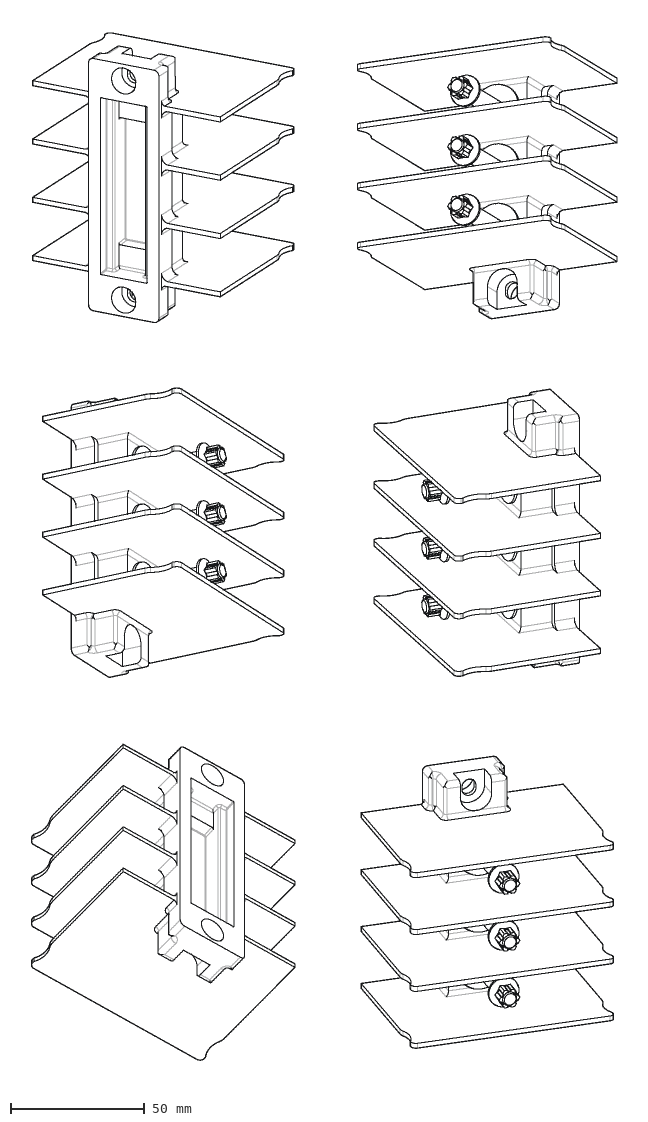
import cadquery as cq
import math

LENGTH = 100.7
HALF_LENGTH = LENGTH / 2

PLATE_PITCH = 23.3
PLATE_THICK = 2.0
PLATE_HALF_WIDTH = 40.0
PLATE_FRONT = 2.1
PLATE_REAR = 60.8
PLATE_CORNER_R = 2.0
PLATE_LEVELS = [(i - 1.5) * PLATE_PITCH for i in range(4)]
TOP_LEVEL = PLATE_LEVELS[-1]

NOTCH_MID = 52.9
NOTCH_DEPTH = 1.5
NOTCH_END = 58.0
NOTCH_BLEND_START = 48.4
NOTCH_BLEND_END = 46.3

FOOT_HALF_WIDTH = 15.0
BLOCK_HALF_WIDTH = 12.6
BAY_FOOT_DEPTH = 10.2
BAY_BLOCK_DEPTH = 22.9
BAY_FOOT_FLARE_R = 2.9
BAY_BLOCK_FLARE_R = 1.7
BAY_FLARE_SINK = 0.02

EAR_FOOT_DEPTH = 8.0
EAR_BLOCK_DEPTH = 17.9
EAR_END_R = 2.1
EAR_CORNER_R = 1.1
EAR_INNER_R = 0.9
EAR_FLARE_R = 1.9
EAR_FLARE_SINK = 0.1

HOLE_LEVEL = 43.7
BORE_R = 5.1
BORE_DEPTH = 7.9
REAR_NOTCH_R = 6.1
REAR_NOTCH_FLOOR = 9.9
SLOT_WIDTH = 5.4
SLOT_HEIGHT = 6.5

POCKET_HALF_WIDTH = 10.0
POCKET_HALF_LENGTH = 35.2
POCKET_DEPTH = 4.5
TROUGH_HALF_WIDTH = 6.5
TROUGH_DEPTH = 8.1
WELL_HALF_LENGTH = 26.1
WELL_DEPTH = 12.9
SIDE_DRAFT = 1.0
END_DRAFT = 5.0
POCKET_FLOOR_R = 0.9
POCKET_EDGE_R = 0.7
POCKET_CORNER_R = 0.3
WELL_CORNER_R = 0.7
WELL_FLOOR_R = 0.3

STUD_LEVELS = [-PLATE_PITCH, 0.0, PLATE_PITCH]
PAD_R = 9.6
PAD_TOP = 23.9
SHAFT_R = 3.3
FLANGE_R = 5.9
FLANGE_START = 48.7
FLANGE_END = 49.6
CONE_END = 51.4
HEAD_SIDES = 6
HEAD_ACROSS_FLATS = 7.0
HEAD_END = 56.0
TIP_BASE_R = 2.7
TIP_END_R = 2.3
TIP_END = 56.7
GROOVE_WIDTH = 1.3
GROOVE_DEPTH = 0.4


def block(half_width, y_start, y_end, z_start, z_end):
    """Box centred on X = 0 between the given Y and Z limits."""
    size = (2 * half_width, y_end - y_start, z_end - z_start)
    return cq.Workplane("XY").box(*size, centered=(True, False, False)).translate((0, y_start, z_start))


def rod(radius, y_start, y_end, z):
    """Cylinder along Y, centred on X = 0."""
    return cq.Workplane("XZ", origin=(0, y_start, z)).circle(radius).extrude(y_start - y_end)


def plate(level):
    """Barrier plate with rounded rear corners and a finger notch in each side."""
    notch_bottom = PLATE_HALF_WIDTH - NOTCH_DEPTH
    half_chord = NOTCH_END - NOTCH_MID
    notch_r = (half_chord ** 2 + NOTCH_DEPTH ** 2) / (2 * NOTCH_DEPTH)
    rise = NOTCH_MID - NOTCH_BLEND_START
    blend_x = notch_bottom + notch_r - math.sqrt(notch_r ** 2 - rise ** 2)
    corner_x = PLATE_HALF_WIDTH - PLATE_CORNER_R
    corner_mid = PLATE_CORNER_R * math.sqrt(0.5)
    half = (
        cq.Workplane("XY", origin=(0, 0, level - PLATE_THICK / 2))
        .moveTo(0, PLATE_FRONT)
        .lineTo(PLATE_HALF_WIDTH, PLATE_FRONT)
        .lineTo(PLATE_HALF_WIDTH, NOTCH_BLEND_END)
        .tangentArcPoint((blend_x, NOTCH_BLEND_START), relative=False)
        .threePointArc((notch_bottom, NOTCH_MID), (PLATE_HALF_WIDTH, NOTCH_END))
        .lineTo(PLATE_HALF_WIDTH, PLATE_REAR - PLATE_CORNER_R)
        .threePointArc(
            (corner_x + corner_mid, PLATE_REAR - PLATE_CORNER_R + corner_mid),
            (corner_x, PLATE_REAR),
        )
        .lineTo(0, PLATE_REAR)
        .close()
        .extrude(PLATE_THICK)
    )
    return half.union(half.mirror("YZ"))


def flared(core, half_width, depth, levels, radius, sink, edge_filter):
    """Core whose foot is rounded into flat slabs inside the plates at the given levels.

    The rounding starts at the front edge of the plates; the slabs, lower than
    the plate faces by the sink, vanish inside the plates.
    """
    margin = 2 * radius
    gap = 0.1
    half_thick = PLATE_THICK / 2 - sink
    joined = core
    for level in levels:
        slab = block(half_width + margin, 0, depth + margin, level - half_thick, level + half_thick)
        joined = joined.union(slab)
    for level in levels:
        for z in (level - half_thick, level + half_thick):
            seam = cq.selectors.BoxSelector(
                (-half_width - gap, gap, z - gap), (half_width + gap, depth + gap, z + gap)
            )
            edges = joined.edges(seam).edges(edge_filter)
            if edges.size():
                joined = edges.fillet(radius)
    behind = block(half_width + 2 * margin, PLATE_FRONT, depth + 2 * margin, -HALF_LENGTH, HALF_LENGTH)
    return joined.intersect(behind).union(core)


def bay_body():
    """Foot and rear block running through all the plates."""
    foot = block(FOOT_HALF_WIDTH, 0, BAY_FOOT_DEPTH, -TOP_LEVEL, TOP_LEVEL)
    rear = block(BLOCK_HALF_WIDTH, 0, BAY_BLOCK_DEPTH, -TOP_LEVEL, TOP_LEVEL)
    foot = flared(foot, FOOT_HALF_WIDTH, BAY_FOOT_DEPTH, PLATE_LEVELS, BAY_FOOT_FLARE_R,
                  BAY_FLARE_SINK, "|Y")
    rear = flared(rear, BLOCK_HALF_WIDTH, BAY_BLOCK_DEPTH, PLATE_LEVELS, BAY_BLOCK_FLARE_R,
                  BAY_FLARE_SINK, "#Z")
    return foot.union(rear)


def ear_block(half_width, depth):
    """Block of the upper ear with mitred end rounds, flared onto the top plate."""
    plain = block(half_width, 0, depth, TOP_LEVEL, HALF_LENGTH)
    rounded = (
        plain.edges("|Z and >Y").fillet(EAR_CORNER_R)
        .intersect(plain.edges("|Y and >Z").fillet(EAR_END_R))
        .intersect(plain.edges("|X and >Y and >Z").fillet(EAR_END_R))
    )
    return flared(rounded, half_width, depth, [TOP_LEVEL], EAR_FLARE_R, EAR_FLARE_SINK, "#Z")


def ear_inner_corner():
    """Fillet between foot and block of the upper ear (+X side), following the end round."""
    rim_r = EAR_INNER_R + EAR_END_R
    outer_r = rim_r * math.sqrt(2)
    middle = EAR_END_R * math.sqrt(0.5)
    turn = (
        cq.Workplane("XZ")
        .moveTo(EAR_INNER_R, TOP_LEVEL)
        .lineTo(EAR_INNER_R, HALF_LENGTH - EAR_END_R)
        .threePointArc(
            (rim_r - middle, HALF_LENGTH - EAR_END_R + middle), (rim_r, HALF_LENGTH)
        )
        .lineTo(outer_r, HALF_LENGTH)
        .lineTo(outer_r, TOP_LEVEL)
        .close()
        .revolve(90, (0, 0, 0), (0, 1, 0))
        .rotate((0, 0, 0), (0, 0, 1), 180)
        .translate((BLOCK_HALF_WIDTH + EAR_INNER_R, EAR_FOOT_DEPTH + EAR_INNER_R, 0))
    )
    limit = block(FOOT_HALF_WIDTH, 0, EAR_BLOCK_DEPTH, TOP_LEVEL, HALF_LENGTH)
    return turn.intersect(limit.edges("|Y and >Z").fillet(EAR_END_R))


def upper_ear():
    """Mounting ear above the top plate, with its bore, slot and open rear notch."""
    corner = ear_inner_corner()
    ear = ear_block(FOOT_HALF_WIDTH, EAR_FOOT_DEPTH).union(ear_block(BLOCK_HALF_WIDTH, EAR_BLOCK_DEPTH))
    ear = ear.union(corner).union(corner.mirror("YZ"))
    slot = (
        cq.Workplane("XZ", origin=(0, 0, HOLE_LEVEL))
        .slot2D(SLOT_HEIGHT, SLOT_WIDTH, 90)
        .extrude(-EAR_BLOCK_DEPTH)
    )
    notch = rod(REAR_NOTCH_R, REAR_NOTCH_FLOOR, EAR_BLOCK_DEPTH, HOLE_LEVEL)
    notch_mouth = block(REAR_NOTCH_R, REAR_NOTCH_FLOOR, EAR_BLOCK_DEPTH, HOLE_LEVEL, HALF_LENGTH)
    bore = rod(BORE_R, 0, BORE_DEPTH, HOLE_LEVEL)
    return ear.cut(slot).cut(bore).cut(notch).cut(notch_mouth)


def trapezoid(plane, half_mouth, depth, draft):
    """Section open at Y = 0 whose two sides lean inward by the draft angle."""
    half_floor = half_mouth - depth * math.tan(math.radians(draft))
    corners = [(-half_mouth, 0), (half_mouth, 0), (half_floor, depth), (-half_floor, depth)]
    return cq.Workplane(plane).polyline(corners).close()


def tapered_recess(half_width, half_length, depth):
    """Rectangular recess from Y = 0 narrowing with depth at the side and end drafts."""
    widths = trapezoid("XY", half_width, depth, SIDE_DRAFT).extrude(POCKET_HALF_LENGTH, both=True)
    lengths = trapezoid("ZY", half_length, depth, END_DRAFT).extrude(POCKET_HALF_WIDTH, both=True)
    return widths.intersect(lengths)


def edges_at_depth(solid, depth, half_width, direction):
    """Edges of a recess at the given depth, within half_width of the middle."""
    gap = 0.1
    zone = cq.selectors.BoxSelector(
        (-half_width, depth - gap, -HALF_LENGTH), (half_width, depth + gap, HALF_LENGTH)
    )
    return solid.edges(zone).edges(direction)


def pocket():
    """Front pocket in three steps: wide shelf, narrower trough, deep well."""
    shelf = tapered_recess(POCKET_HALF_WIDTH, POCKET_HALF_LENGTH, POCKET_DEPTH)
    trough = tapered_recess(TROUGH_HALF_WIDTH, POCKET_HALF_LENGTH, TROUGH_DEPTH)
    recess = shelf.union(trough)
    recess = edges_at_depth(recess, POCKET_DEPTH, TROUGH_HALF_WIDTH, "|Z").fillet(POCKET_EDGE_R)
    shelf_ends = edges_at_depth(recess, POCKET_DEPTH, POCKET_HALF_WIDTH, "|X")
    trough_ends = edges_at_depth(recess, TROUGH_DEPTH, TROUGH_HALF_WIDTH, "|X")
    recess = shelf_ends.add(trough_ends).fillet(POCKET_FLOOR_R)
    upright = recess.edges("not(|X or |Z)").edges("%LINE")
    recess = upright.edges("<X or >X").fillet(POCKET_CORNER_R)
    well = tapered_recess(TROUGH_HALF_WIDTH, WELL_HALF_LENGTH, WELL_DEPTH)
    well = well.edges("not(|X or |Z)").fillet(WELL_CORNER_R)
    well = well.faces(">Y").edges().fillet(WELL_FLOOR_R)
    return recess.union(well)


def stud(level):
    """Terminal stud: pad, shaft, conical flange and a grooved hexagon head with a tapered tip."""
    spindle = (
        cq.Workplane("XY")
        .moveTo(0, BAY_BLOCK_DEPTH)
        .lineTo(PAD_R, BAY_BLOCK_DEPTH)
        .lineTo(PAD_R, PAD_TOP)
        .lineTo(SHAFT_R, PAD_TOP)
        .lineTo(SHAFT_R, FLANGE_START)
        .lineTo(FLANGE_R, FLANGE_START)
        .lineTo(FLANGE_R, FLANGE_END)
        .lineTo(HEAD_ACROSS_FLATS / 2, CONE_END)
        .lineTo(TIP_BASE_R, CONE_END)
        .lineTo(TIP_BASE_R, HEAD_END)
        .lineTo(TIP_END_R, TIP_END)
        .lineTo(0, TIP_END)
        .close()
        .revolve(360, (0, 0, 0), (0, 1, 0))
    )
    side_angle = 360 / HEAD_SIDES
    head = (
        cq.Workplane("XZ", origin=(0, FLANGE_END, 0))
        .polygon(HEAD_SIDES, HEAD_ACROSS_FLATS, circumscribed=True)
        .extrude(FLANGE_END - HEAD_END)
        .rotate((0, 0, 0), (0, 1, 0), side_angle / 2)
    )
    groove_floor = HEAD_ACROSS_FLATS / 2 - GROOVE_DEPTH
    groove = block(GROOVE_WIDTH / 2, FLANGE_END, HEAD_END, groove_floor, HEAD_ACROSS_FLATS)
    for i in range(HEAD_SIDES):
        head = head.cut(groove.rotate((0, 0, 0), (0, 1, 0), side_angle * i))
    return spindle.union(head).translate((0, 0, level))


ear = upper_ear()
result = bay_body().union(ear).union(ear.mirror("XY"))
for plate_level in PLATE_LEVELS:
    result = result.union(plate(plate_level))
result = result.cut(pocket())
for stud_level in STUD_LEVELS:
    result = result.union(stud(stud_level))